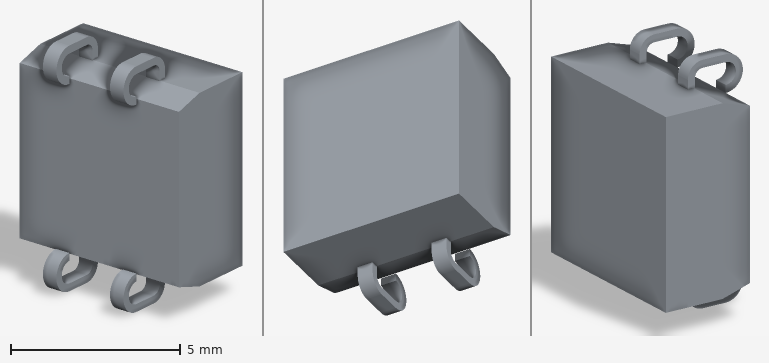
import cadquery as cq

body_width = 6.02
body_depth = 3.01
body_height = 6.2
bevel_depth = 0.975
bevel_height = 0.29

overall_height = 7.87
lead_pitch = 2.535
lead_width = 0.51
lead_thickness = 0.25
lead_reach = 0.76
shoulder_radius = 0.53
hook_radius = 0.61
lead_depth = 1.97
root_depth = 0.24


def make_body():
    half_height = body_height / 2
    profile = [
        (0, half_height - bevel_height),
        (bevel_depth, half_height),
        (body_depth, half_height),
        (body_depth, -half_height),
        (bevel_depth, -half_height),
        (0, -half_height + bevel_height),
    ]
    return (
        cq.Workplane("YZ").polyline(profile).close()
        .extrude(body_width / 2, both=True)
    )


def make_top_lead(x_center):
    """Strip rising from the body top, bent forward and curled back down."""
    top = overall_height / 2
    inner_top = top - lead_thickness
    root = body_height / 2 - root_depth
    hook_y = hook_radius - lead_reach
    hook_z = top - hook_radius
    hook_inner = hook_radius - lead_thickness
    riser_back = lead_depth - lead_reach
    riser_front = riser_back - lead_thickness
    shoulder_y = riser_back - shoulder_radius
    shoulder_z = top - shoulder_radius
    shoulder_inner = shoulder_radius - lead_thickness
    diagonal = 0.5 ** 0.5

    return (
        cq.Workplane("YZ", origin=(x_center, 0, 0))
        .moveTo(riser_back, root)
        .lineTo(riser_back, shoulder_z)
        .threePointArc(
            (shoulder_y + shoulder_radius * diagonal, shoulder_z + shoulder_radius * diagonal),
            (shoulder_y, top),
        )
        .lineTo(hook_y, top)
        .threePointArc((-lead_reach, hook_z), (hook_y, hook_z - hook_radius))
        .lineTo(hook_y, hook_z - hook_inner)
        .threePointArc((hook_y - hook_inner, hook_z), (hook_y, inner_top))
        .lineTo(shoulder_y, inner_top)
        .threePointArc(
            (shoulder_y + shoulder_inner * diagonal, shoulder_z + shoulder_inner * diagonal),
            (riser_front, shoulder_z),
        )
        .lineTo(riser_front, root)
        .close()
        .extrude(lead_width / 2, both=True)
    )


result = make_body()
for x_center in (-lead_pitch / 2, lead_pitch / 2):
    top_lead = make_top_lead(x_center)
    result = result.union(top_lead).union(top_lead.mirror("XY"))